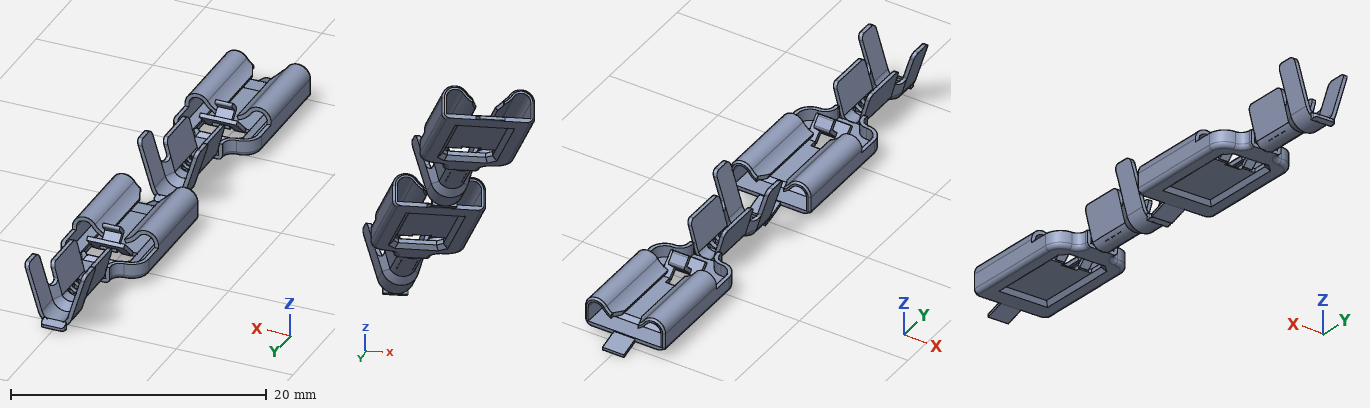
import cadquery as cq
import math

pitch = 21.45
terminal_count = 2
drop_per_pitch = 0.1
sheet = 0.35
overcut = 0.45

half_width = 3.7
front_y = 1.67
curl_back_y = 9.35
tray_back_y = 13.7
tray_wall_height = 1.4
bottom_radius = 0.4
shoulder_y = 11.2
shoulder_radius = 1.45
neck_radius = 0.77
curl_height = 2.75
curl_radius = 1.07
flank_slope = math.radians(55)
lip_slope = math.radians(20)
curl_gap_half = 0.77
lead_in_half = 1.25
lead_in_start_y = 2.95
lead_in_end_y = 1.95
front_bevel = 0.17

emboss_height = 0.35
emboss_half_width = 2.35
emboss_front_y = 3.3
emboss_back_y = 11.7
emboss_corner = 0.65
emboss_run = 0.4
window_front_y = 9.55

tab_half_width = 1.6
tab_tip = (11.2, 2.05)
tongue_half_width = 0.75
tongue_path = [(10.55, 1.15), (9.5, 2.25), (10.05, 2.85)]
tongue_slot_front_y = 8.9
tongue_slot_back_y = 10.35
tongue_slot_slope_run = 0.4

wire_front_y = tray_back_y
wire_back_y = 17.95
wire_bottom = -0.1
wire_radius = 1.15
wire_floor_angle = math.radians(58)
wire_wing_angle = math.radians(15)
wire_top = 3.4
groove_width = 0.4
groove_pitch = 0.8
groove_count = 3
groove_first_y = 15.1
groove_depth = 0.1
groove_half_length = 0.65

insulation_front_y = 18.85
insulation_back_y = 20.85
insulation_bottom = -0.5
insulation_radius = 1.5
insulation_wing_angle = math.radians(17)
insulation_floor_angle = math.pi / 2 - insulation_wing_angle
insulation_top = 4.6
wing_corner_radius = 0.47
web_bottom = 1.67

tail_half_width = 1.0
carrier_sheet = 0.25
tail_drop = 0.5
rear_tab_base_top = 0.15
rear_tab_corner = 0.25


def tray_outline(inset, y_front, y_back):
    """Plan outline of the tray, moved inward by inset, with round shoulders leading into the neck."""
    side = half_width - inset
    convex = shoulder_radius - inset
    concave = neck_radius + inset
    middle_x = side - convex
    middle_y = shoulder_y + convex
    neck_x = middle_x - concave
    neck_y = middle_y + concave
    return (
        cq.Workplane("XY")
        .moveTo(-side, y_front)
        .lineTo(side, y_front)
        .lineTo(side, shoulder_y)
        .radiusArc((middle_x, middle_y), -convex)
        .radiusArc((neck_x, neck_y), concave)
        .lineTo(neck_x, y_back)
        .lineTo(-neck_x, y_back)
        .lineTo(-neck_x, neck_y)
        .radiusArc((-middle_x, middle_y), concave)
        .radiusArc((-side, shoulder_y), -convex)
        .close()
    )


def extrude_along_y(profile, y_front, y_back):
    """Extrude a profile drawn on XZ (which extrudes toward -Y) to fill y_front..y_back."""
    return profile.extrude(y_back - y_front).translate((0, y_back, 0))


def box_between(x_half, y_front, y_back, z_low, z_high):
    """Box centred on X."""
    size = (2 * x_half, y_back - y_front, z_high - z_low)
    return cq.Workplane("XY").box(*size, centered=(True, False, False)).translate((0, y_front, z_low))


def make_tray():
    tray = tray_outline(0, front_y, tray_back_y).extrude(tray_wall_height)
    tray = tray.edges("|Z and <Y").chamfer(front_bevel)
    tray = tray.faces("<Z").edges("not |X").fillet(bottom_radius)
    pocket = tray_outline(sheet, front_y - overcut, tray_back_y + overcut).extrude(tray_wall_height)
    return tray.cut(pocket.translate((0, 0, sheet)))


def make_left_curl():
    """Left wall rolled over the top, then bent back the other way toward the middle gap."""
    centre_x = -half_width + curl_radius
    centre_z = curl_height - curl_radius
    flank_x = centre_x + curl_radius * math.sin(flank_slope)
    bend_radius = (-curl_gap_half - flank_x) / (math.sin(flank_slope) - math.sin(lip_slope))
    bend_x = centre_x + (curl_radius + bend_radius) * math.sin(flank_slope)
    bend_z = centre_z + (curl_radius + bend_radius) * math.cos(flank_slope)

    def on_roll(radius, slope):
        return (centre_x + radius * math.sin(slope), centre_z + radius * math.cos(slope))

    def on_bend(radius, slope):
        return (bend_x - radius * math.sin(slope), bend_z - radius * math.cos(slope))

    mid_slope = (flank_slope + lip_slope) / 2
    inner_radius = curl_radius - sheet
    lower_radius = bend_radius + sheet
    profile = (
        cq.Workplane("XZ")
        .moveTo(-half_width, bottom_radius)
        .lineTo(-half_width, centre_z)
        .threePointArc(on_roll(curl_radius, 0), on_roll(curl_radius, flank_slope))
        .threePointArc(on_bend(bend_radius, mid_slope), on_bend(bend_radius, lip_slope))
        .lineTo(*on_bend(lower_radius, lip_slope))
        .threePointArc(on_bend(lower_radius, mid_slope), on_bend(lower_radius, flank_slope))
        .threePointArc(on_roll(inner_radius, 0), (-half_width + sheet, centre_z))
        .lineTo(-half_width + sheet, bottom_radius)
        .close()
    )
    curl = extrude_along_y(profile, front_y, curl_back_y)
    outer_front_edge = cq.NearestToPointSelector((-half_width, front_y, centre_z / 2))
    return curl.edges(outer_front_edge).chamfer(front_bevel)


def make_curls():
    left = make_left_curl()
    curls = left.union(left.mirror("YZ"))
    lead_in = (
        cq.Workplane("XY", origin=(0, 0, sheet))
        .polyline([
            (-lead_in_half, front_y - overcut), (lead_in_half, front_y - overcut),
            (lead_in_half, lead_in_end_y), (curl_gap_half, lead_in_start_y),
            (-curl_gap_half, lead_in_start_y), (-lead_in_half, lead_in_end_y),
        ])
        .close()
        .extrude(curl_height)
    )
    return curls.cut(lead_in)


def emboss_outline(inset, z):
    """Plan outline of the raised floor: a rectangle with its two rear corners cut off."""
    x = emboss_half_width - inset
    back = emboss_back_y - inset
    corner = emboss_corner - inset / 2
    return (
        cq.Workplane("XY", origin=(0, 0, z))
        .polyline([
            (-x, emboss_front_y + inset), (x, emboss_front_y + inset), (x, back - corner),
            (x - corner, back), (-x + corner, back), (-x, back - corner),
        ])
        .close()
    )


def make_emboss():
    low = emboss_outline(0, 0).val()
    high = emboss_outline(emboss_run, emboss_height).val()
    return cq.Workplane(cq.Solid.makeLoft([low, high], True))


def make_window():
    """Opening that takes up the rear of the raised floor, inside its sloping rim."""
    opening = emboss_outline(emboss_run, 0).extrude(curl_height)
    return opening.intersect(
        box_between(half_width, window_front_y, emboss_back_y, 0, curl_height)
    )


def make_wide_tab():
    """Flat tab rising from the front edge of the window."""
    root = (window_front_y, emboss_height + sheet / 2)
    angle = math.atan2(tab_tip[1] - root[1], tab_tip[0] - root[0])
    dy = sheet / 2 * math.sin(angle)
    dz = sheet / 2 * math.cos(angle)
    return (
        cq.Workplane("YZ")
        .polyline([
            (root[0] - dy, root[1] + dz), (root[0] + dy, root[1] - dz),
            (tab_tip[0] + dy, tab_tip[1] - dz), (tab_tip[0] - dy, tab_tip[1] + dz),
        ])
        .close()
        .extrude(tab_half_width, both=True)
    )


def make_tongue_slot():
    """Opening in the tab and raised floor left by the tongue, with a sloping front end."""
    floor_top = emboss_height + sheet
    slope_foot_y = tongue_slot_front_y + tongue_slot_slope_run
    return (
        cq.Workplane("YZ")
        .polyline([
            (tongue_slot_front_y, curl_height), (tongue_slot_front_y, floor_top),
            (slope_foot_y, emboss_height), (slope_foot_y, 0),
            (tongue_slot_back_y, 0), (tongue_slot_back_y, curl_height),
        ])
        .close()
        .extrude(tongue_half_width, both=True)
    )


def make_tongue():
    """Narrow spring tongue: one leg rising toward the front, bent back on itself to its tip."""
    tongue = cq.Workplane("YZ")
    for start, end in zip(tongue_path, tongue_path[1:]):
        run = end[0] - start[0]
        rise = end[1] - start[1]
        leg = (
            cq.Workplane("YZ")
            .center((start[0] + end[0]) / 2, (start[1] + end[1]) / 2)
            .slot2D(
                math.hypot(run, rise) + sheet,
                sheet,
                math.degrees(math.atan2(rise, run)),
            )
            .extrude(tongue_half_width, both=True)
        )
        tongue = tongue.union(leg)
    return tongue


def barrel_profile(y, bottom, radius, floor_angle, wing_angle, top):
    """U-shaped section at y: a round floor with two straight wings leaning outward."""
    centre_z = bottom + radius

    def side(half, r):
        end = (half * r * math.sin(floor_angle), centre_z - r * math.cos(floor_angle))
        return end, (end[0] + half * (top - end[1]) * math.tan(wing_angle), top)

    outer_left, outer_left_top = side(-1, radius)
    outer_right, outer_right_top = side(1, radius)
    inner_left, inner_left_top = side(-1, radius - sheet)
    inner_right, inner_right_top = side(1, radius - sheet)
    return (
        cq.Workplane("XZ", origin=(0, y, 0))
        .moveTo(*outer_left_top)
        .lineTo(*outer_left)
        .threePointArc((0, bottom), outer_right)
        .lineTo(*outer_right_top)
        .lineTo(*inner_right_top)
        .lineTo(*inner_right)
        .threePointArc((0, bottom + sheet), inner_left)
        .lineTo(*inner_left_top)
        .close()
    )


def wire_section(y, top):
    return barrel_profile(y, wire_bottom, wire_radius, wire_floor_angle, wire_wing_angle, top)


def insulation_section(y, top):
    return barrel_profile(
        y, insulation_bottom, insulation_radius, insulation_floor_angle, insulation_wing_angle, top
    )


def round_wing_corners(barrel, y_front, y_back, top):
    """Round the two upper corners of both wings, as seen along X."""
    side_shape = (
        cq.Workplane("YZ")
        .rect(y_back - y_front, 2 * top)
        .extrude(half_width, both=True)
        .edges("|X and >Z")
        .fillet(wing_corner_radius)
        .translate((0, (y_front + y_back) / 2, 0))
    )
    return barrel.intersect(side_shape)


def make_wire_barrel():
    barrel = wire_section(wire_back_y, wire_top).extrude(wire_back_y - wire_front_y)
    barrel = round_wing_corners(barrel, wire_front_y, wire_back_y, wire_top)
    for i in range(groove_count):
        groove_y = groove_first_y + i * groove_pitch
        groove = box_between(
            groove_half_length,
            groove_y - groove_width / 2,
            groove_y + groove_width / 2,
            wire_bottom + sheet - groove_depth,
            wire_radius,
        )
        barrel = barrel.cut(groove)
    return barrel


def make_insulation_barrel():
    length = insulation_back_y - insulation_front_y
    barrel = insulation_section(insulation_back_y, insulation_top).extrude(length)
    return round_wing_corners(barrel, insulation_front_y, insulation_back_y, insulation_top)


def make_web():
    """Joins the two barrels; the upper edge dips in a round notch between the wings."""
    notch_radius = (insulation_front_y - wire_back_y) / 2
    web_top = web_bottom + notch_radius
    web = cq.Workplane(cq.Solid.makeLoft([
        wire_section(wire_back_y, web_top).val(),
        insulation_section(insulation_front_y, web_top).val(),
    ], True))
    notch = (
        cq.Workplane("YZ")
        .center(wire_back_y + notch_radius, web_top)
        .circle(notch_radius)
        .extrude(half_width, both=True)
    )
    return web.cut(notch)


def make_tail():
    """Cut-off carrier strip sloping down from the front edge of the floor."""
    return (
        cq.Workplane("YZ")
        .polyline([(front_y, 0), (front_y, carrier_sheet), (0, carrier_sheet - tail_drop), (0, -tail_drop)])
        .close()
        .extrude(tail_half_width, both=True)
    )


def make_rear_tab():
    """Short stub of carrier strip behind the insulation barrel, matching the next tail's height."""
    tip_bottom = drop_per_pitch - tail_drop
    return (
        cq.Workplane("YZ")
        .polyline([
            (insulation_back_y, insulation_bottom), (insulation_back_y, rear_tab_base_top),
            (pitch, tip_bottom + carrier_sheet), (pitch, tip_bottom),
        ])
        .close()
        .extrude(tail_half_width, both=True)
        .edges(">Y and (not |X)")
        .fillet(rear_tab_corner)
    )


def make_terminal():
    emboss = make_emboss()
    terminal = (
        make_tray()
        .union(emboss.translate((0, 0, sheet)))
        .cut(emboss)
        .cut(make_window())
        .union(make_wide_tab())
        .cut(make_tongue_slot())
        .union(make_tongue())
        .union(make_curls())
        .union(make_wire_barrel())
        .union(make_web())
        .union(make_insulation_barrel())
        .union(make_tail())
        .union(make_rear_tab())
    )
    return terminal.val()


terminal = make_terminal()
terminals = []
for i in range(terminal_count):
    terminals.append(terminal.translate(cq.Vector(0, -i * pitch, -i * drop_per_pitch)))

result = cq.Compound.makeCompound(terminals)